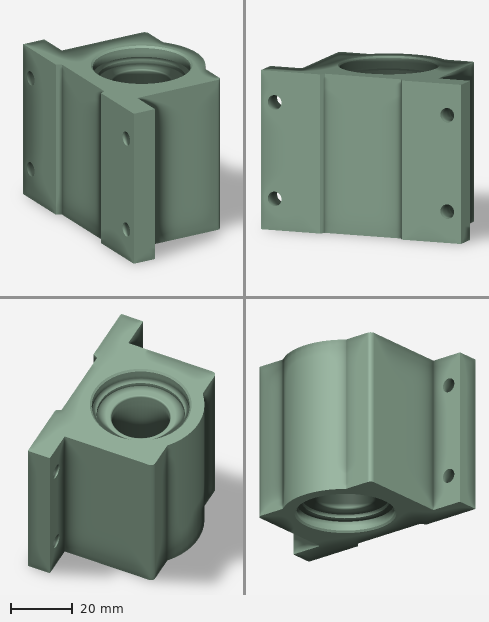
import cadquery as cq
import math

overall_height = 44.45
flange_width = 69.85
flange_thickness = 7.9375
housing_length = 52.3875
block_width = 47.625
block_height = 39.6875
bore_height = 23.8125
crown_radius = overall_height - bore_height
block_corner_radius = 1.5
crown_blend_radius = 1.0

relief_width = 28.575
relief_depth = 1.74625
relief_side_angle = 30

mount_hole_diameter = 4.7625
mount_spacing_x = 60.325
mount_spacing_z = 31.75

bearing_diameter = 31.75
bearing_length = 41.275
shaft_diameter = 19.05
bearing_bore_rounding = 0.55
bore_chamfer = 0.6

ring_inner_radius = 14.2875
ring_outer_radius = 17
ring_thickness = 1.27
groove_width = 1.9

gap_angle = 55
gap_width = 0.15
gap_step_radius = 15.5
gap_step_length = 1.45
gap_mouth_width = 0.5
gap_overrun = 0.5

half_length = housing_length / 2
bearing_radius = bearing_diameter / 2
bearing_end = bearing_length / 2


def cylinder_on_bore(radius, length, start_z):
    """Solid cylinder on the bore axis, rising from start_z."""
    return cq.Workplane("XY", origin=(0, bore_height, start_z)).circle(radius).extrude(length)


def make_block():
    half_flange = flange_width / 2
    half_block = block_width / 2
    outline = [
        (-half_flange, 0),
        (half_flange, 0),
        (half_flange, flange_thickness),
        (half_block, flange_thickness),
        (half_block, block_height),
        (-half_block, block_height),
        (-half_block, flange_thickness),
        (-half_flange, flange_thickness),
    ]
    block = cq.Workplane("XY", origin=(0, 0, -half_length)).polyline(outline).close().extrude(housing_length)
    for side in (-1, 1):
        corner = cq.selectors.NearestToPointSelector((side * half_block, block_height, 0))
        block = block.edges("|Z").edges(corner).fillet(block_corner_radius)
    block = block.union(cylinder_on_bore(crown_radius, housing_length, -half_length))

    crown_half_width = math.sqrt(crown_radius**2 - (block_height - bore_height) ** 2)
    for side in (-1, 1):
        valley = cq.selectors.NearestToPointSelector((side * crown_half_width, block_height, 0))
        block = block.edges("|Z").edges(valley).fillet(crown_blend_radius)
    return block


def cut_relief(body):
    half_mouth = relief_width / 2
    half_floor = half_mouth - relief_depth * math.tan(math.radians(relief_side_angle))
    outline = [
        (-half_mouth, 0),
        (half_mouth, 0),
        (half_floor, relief_depth),
        (-half_floor, relief_depth),
    ]
    relief = cq.Workplane("XY", origin=(0, 0, -half_length)).polyline(outline).close().extrude(housing_length)
    return body.cut(relief)


def cut_mounting_holes(body):
    holes = (
        cq.Workplane("XZ")
        .rarray(mount_spacing_x, mount_spacing_z, 2, 2)
        .circle(mount_hole_diameter / 2)
        .extrude(-flange_thickness)
    )
    return body.cut(holes)


def cut_bore(body):
    body = body.cut(cylinder_on_bore(bearing_radius, housing_length, -half_length))
    for start_z in (bearing_end, -bearing_end - groove_width):
        body = body.cut(cylinder_on_bore(ring_outer_radius, groove_width, start_z))

    mouth_radius = bearing_radius + bore_chamfer
    for end in (-1, 1):
        cone = (
            cq.Workplane("XY", origin=(0, bore_height, end * half_length))
            .circle(mouth_radius)
            .workplane(offset=-end * bore_chamfer)
            .circle(bearing_radius)
            .loft(ruled=True)
        )
        body = body.cut(cone)
    return body


def make_housing():
    return cut_bore(cut_mounting_holes(cut_relief(make_block())))


def make_bearing():
    bearing = cylinder_on_bore(bearing_radius, bearing_length, -bearing_end)
    bearing = bearing.cut(cylinder_on_bore(shaft_diameter / 2, bearing_length, -bearing_end))
    bore_rims = cq.selectors.RadiusNthSelector(0)
    return bearing.faces("<Z or >Z").edges(bore_rims).fillet(bearing_bore_rounding)


def make_ring_split(start_z):
    """Stepped gap between the ring ends: narrow inner leg, cross leg, wide outer leg."""
    outline = [
        (ring_inner_radius - gap_overrun, 0),
        (gap_step_radius + gap_width, 0),
        (gap_step_radius + gap_width, gap_step_length - gap_mouth_width),
        (ring_outer_radius + gap_overrun, gap_step_length - gap_mouth_width),
        (ring_outer_radius + gap_overrun, gap_step_length),
        (gap_step_radius, gap_step_length),
        (gap_step_radius, gap_width),
        (ring_inner_radius - gap_overrun, gap_width),
    ]
    split = cq.Workplane("XY", origin=(0, 0, start_z)).polyline(outline).close().extrude(ring_thickness)
    return split.rotate((0, 0, 0), (0, 0, 1), gap_angle).translate((0, bore_height, 0))


def make_retaining_ring(start_z):
    ring = cylinder_on_bore(ring_outer_radius, ring_thickness, start_z)
    ring = ring.cut(cylinder_on_bore(ring_inner_radius, ring_thickness, start_z))
    return ring.cut(make_ring_split(start_z))


housing = make_housing()
bearing = make_bearing()
retaining_rings = [
    make_retaining_ring(start_z) for start_z in (bearing_end, -bearing_end - ring_thickness)
]

result = cq.Compound.makeCompound(
    [housing.val(), bearing.val(), *[ring.val() for ring in retaining_rings]]
)